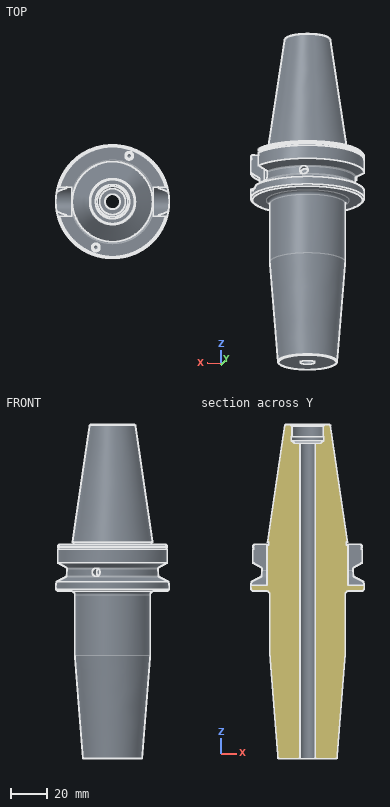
import cadquery as cq
import math

GAUGE_RADIUS = 44.45 / 2
TAPER_LENGTH = 65.4
TAPER_RATE = 7 / 24
PROJECTION = 120.0

TAPER_END_CHAMFER = 0.5
TAPER_BOTTOM = 0.65
NECK_TOP = 0.1
NECK_RADIUS = 21.7
NECK_RECESS_RADIUS = 23.2
NECK_RECESS_DEPTH = 0.4

FLANGE_RADIUS = 31.5
FLANGE_TOP = -1.0
FLANGE_BOTTOM = -27.0
FLANGE_CHAMFER = 1.0
RING_GROOVE_TOP = -2.6
RING_GROOVE_WIDTH = 1.1
RING_GROOVE_DEPTH = 0.4

GRIP_CENTER = -16.5
GRIP_FLOOR_RADIUS = 26.6
GRIP_MOUTH_WIDTH = 10.4
GRIP_FLANK_ANGLE = 30.0
GRIP_FILLET = 0.6
CORNER_MARGIN = 0.1

BODY_RADIUS = 21.0
BODY_FILLET = 2.0
NOSE_START = -62.5
NOSE_RADIUS = 16.5
NOSE_CHAMFER = 0.5

SLOT_WIDTH = 16.1
SLOT_FLOOR_X = 22.5
SLOT_BOTTOM = -23.6

BORE_RADIUS = 4.1
SOCKET_RADIUS = 8.5
SOCKET_CHAMFER = 1.0
SOCKET_DEPTH = 6.7
RELIEF_GROOVE_RADIUS = 9.0
RELIEF_GROOVE_WIDTH = 2.4
SEAT_RADIUS = 7.2

PORT_RADIUS = 2.3
PORT_CIRCLE_RADIUS = 27.0
PORT_ANGLES = (70.0, 250.0)
FACE_HOLE_RADIUS = 1.5
FACE_HOLE_DEPTH = 1.5
DRILL_POINT_ANGLE = 118.0
CROSS_HOLE_DEPTH = 7.0


def make_body():
    """Revolve the outer profile about Z."""
    taper_top_radius = GAUGE_RADIUS - TAPER_LENGTH * TAPER_RATE / 2
    chamfer_foot_radius = taper_top_radius + TAPER_END_CHAMFER * TAPER_RATE / 2
    flank_height = (FLANGE_RADIUS - GRIP_FLOOR_RADIUS) * math.tan(math.radians(GRIP_FLANK_ANGLE))
    grip_half_mouth = GRIP_MOUTH_WIDTH / 2
    grip_half_floor = grip_half_mouth - flank_height
    ring_groove_bottom = RING_GROOVE_TOP - RING_GROOVE_WIDTH
    ring_groove_radius = FLANGE_RADIUS - RING_GROOVE_DEPTH
    flange_face_radius = FLANGE_RADIUS - FLANGE_CHAMFER
    fillet_inset = BODY_FILLET * (1 - math.sqrt(0.5))

    profile = (
        cq.Workplane("XZ")
        .moveTo(0, TAPER_LENGTH)
        .lineTo(taper_top_radius - TAPER_END_CHAMFER, TAPER_LENGTH)
        .lineTo(chamfer_foot_radius, TAPER_LENGTH - TAPER_END_CHAMFER)
        .lineTo(GAUGE_RADIUS, TAPER_BOTTOM)
        .lineTo(GAUGE_RADIUS, NECK_TOP)
        .lineTo(NECK_RADIUS, NECK_TOP)
        .lineTo(NECK_RADIUS, FLANGE_TOP - NECK_RECESS_DEPTH)
        .lineTo(NECK_RECESS_RADIUS, FLANGE_TOP)
        .lineTo(flange_face_radius, FLANGE_TOP)
        .lineTo(FLANGE_RADIUS, FLANGE_TOP - FLANGE_CHAMFER)
        .lineTo(FLANGE_RADIUS, RING_GROOVE_TOP)
        .lineTo(ring_groove_radius, RING_GROOVE_TOP)
        .lineTo(ring_groove_radius, ring_groove_bottom)
        .lineTo(FLANGE_RADIUS, ring_groove_bottom)
        .lineTo(FLANGE_RADIUS, GRIP_CENTER + grip_half_mouth)
        .lineTo(GRIP_FLOOR_RADIUS, GRIP_CENTER + grip_half_floor)
        .lineTo(GRIP_FLOOR_RADIUS, GRIP_CENTER - grip_half_floor)
        .lineTo(FLANGE_RADIUS, GRIP_CENTER - grip_half_mouth)
        .lineTo(FLANGE_RADIUS, FLANGE_BOTTOM + FLANGE_CHAMFER)
        .lineTo(flange_face_radius, FLANGE_BOTTOM)
        .lineTo(BODY_RADIUS + BODY_FILLET, FLANGE_BOTTOM)
        .threePointArc(
            (BODY_RADIUS + fillet_inset, FLANGE_BOTTOM - fillet_inset),
            (BODY_RADIUS, FLANGE_BOTTOM - BODY_FILLET),
        )
        .lineTo(BODY_RADIUS, NOSE_START)
        .lineTo(NOSE_RADIUS, -PROJECTION + NOSE_CHAMFER)
        .lineTo(NOSE_RADIUS - NOSE_CHAMFER, -PROJECTION)
        .lineTo(0, -PROJECTION)
        .close()
    )
    body = profile.revolve(360, (0, 0), (0, 1))
    grip_corners = cq.selectors.BoxSelector(
        (-FLANGE_RADIUS, -FLANGE_RADIUS, GRIP_CENTER - grip_half_floor - CORNER_MARGIN),
        (FLANGE_RADIUS, FLANGE_RADIUS, GRIP_CENTER + grip_half_floor + CORNER_MARGIN),
        boundingbox=True,
    )
    return body.edges("%CIRCLE").edges(grip_corners).fillet(GRIP_FILLET)


def make_bores():
    """Through bore opening into a socket with a conical seat at the taper end."""
    relief_top = TAPER_LENGTH - SOCKET_DEPTH
    relief_bottom = relief_top - RELIEF_GROOVE_WIDTH
    seat_bottom = relief_bottom - (SOCKET_RADIUS - SEAT_RADIUS)
    profile = (
        cq.Workplane("XZ")
        .moveTo(0, TAPER_LENGTH)
        .lineTo(SOCKET_RADIUS + SOCKET_CHAMFER, TAPER_LENGTH)
        .lineTo(SOCKET_RADIUS, TAPER_LENGTH - SOCKET_CHAMFER)
        .lineTo(SOCKET_RADIUS, relief_top)
        .lineTo(RELIEF_GROOVE_RADIUS, relief_top)
        .lineTo(RELIEF_GROOVE_RADIUS, relief_bottom)
        .lineTo(SOCKET_RADIUS, relief_bottom)
        .lineTo(SEAT_RADIUS, seat_bottom)
        .lineTo(BORE_RADIUS, seat_bottom)
        .lineTo(BORE_RADIUS, -PROJECTION)
        .lineTo(0, -PROJECTION)
        .close()
    )
    return profile.revolve(360, (0, 0), (0, 1))


def make_drive_slot(side):
    """Round-ended slot, open at the flange rim and top; side is +1 or -1 along X."""
    half_width = SLOT_WIDTH / 2
    arc_center_z = SLOT_BOTTOM + half_width
    return (
        cq.Workplane("YZ", origin=(side * SLOT_FLOOR_X, 0, 0))
        .moveTo(-half_width, FLANGE_TOP)
        .lineTo(-half_width, arc_center_z)
        .threePointArc((0, SLOT_BOTTOM), (half_width, arc_center_z))
        .lineTo(half_width, FLANGE_TOP)
        .close()
        .extrude(side * (FLANGE_RADIUS - SLOT_FLOOR_X))
    )


def make_face_hole(angle):
    """Blind hole in the flange face with a 45 degree countersink and a drill point."""
    countersink_depth = PORT_RADIUS - FACE_HOLE_RADIUS
    point_height = FACE_HOLE_RADIUS / math.tan(math.radians(DRILL_POINT_ANGLE / 2))
    cutter = (
        cq.Workplane("XZ")
        .moveTo(0, 0)
        .lineTo(PORT_RADIUS, 0)
        .lineTo(FACE_HOLE_RADIUS, -countersink_depth)
        .lineTo(FACE_HOLE_RADIUS, -FACE_HOLE_DEPTH)
        .lineTo(0, -FACE_HOLE_DEPTH - point_height)
        .close()
        .revolve(360, (0, 0), (0, 1))
    )
    return cutter.translate((PORT_CIRCLE_RADIUS, 0, FLANGE_TOP)).rotate((0, 0, 0), (0, 0, 1), angle)


def make_cross_hole(angle):
    """Flat-bottomed radial hole in the gripper groove floor, starting outside the floor."""
    clearance = FLANGE_RADIUS - GRIP_FLOOR_RADIUS
    depth = clearance + CROSS_HOLE_DEPTH
    cutter = cq.Workplane("XY").circle(PORT_RADIUS).extrude(-depth)
    cutter = cutter.rotate((0, 0, 0), (0, 1, 0), 90)
    return cutter.translate((FLANGE_RADIUS, 0, GRIP_CENTER)).rotate((0, 0, 0), (0, 0, 1), angle)


result = make_body().cut(make_bores())
for slot_side in (1, -1):
    result = result.cut(make_drive_slot(slot_side))
for port_angle in PORT_ANGLES:
    result = result.cut(make_face_hole(port_angle))
    result = result.cut(make_cross_hole(port_angle))